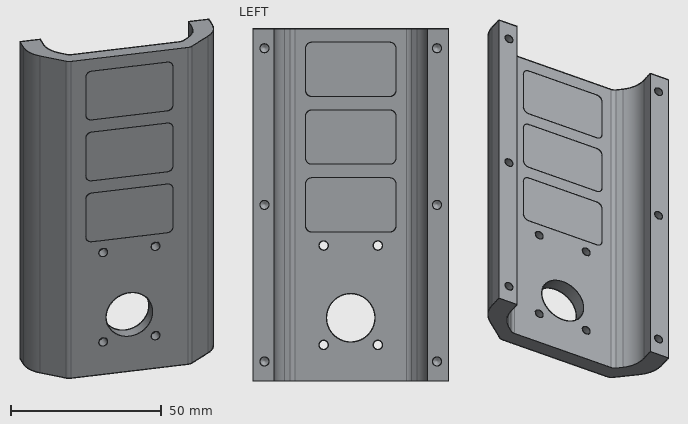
import cadquery as cq
import math

DEPTH = 19.0
WIDTH = 65.0
LENGTH = 117.0

WEB_THICKNESS = 5.0
FLANGE_WIDTH = 7.0
SLOPE_ANGLE = math.radians(50.0)
OUTER_CORNER_HALF_WIDTH = 21.0
INNER_CORNER_HALF_WIDTH = 19.4
SHOULDER_RADIUS = 10.0
CORNER_RADIUS = 2.5

SCREW_DIAMETER = 3.0
SCREW_DEPTH = 6.0
DRILL_POINT_ANGLE = math.radians(118.0)
SCREW_SIDE_OFFSET = 3.85
SCREW_END_OFFSET = 6.5

WINDOW_WIDTH = 30.0
WINDOW_HEIGHT = 18.0
WINDOW_CORNER_RADIUS = 2.0
WINDOW_COUNT = 3
WINDOW_PITCH = 22.5
WINDOW_TOP_MARGIN = 4.5

OPENING_DIAMETER = 16.0
OPENING_Z = 21.0
MOUNT_DIAMETER = 3.0
MOUNT_SPACING_Y = 18.0
MOUNT_LOW_Z = 12.0
MOUNT_SPACING_Z = 33.0

WEB_INNER_X = DEPTH - WEB_THICKNESS
FIRST_WINDOW_Z = LENGTH - WINDOW_TOP_MARGIN - WINDOW_HEIGHT / 2
WINDOW_CENTRES_Z = [FIRST_WINDOW_Z - i * WINDOW_PITCH for i in range(WINDOW_COUNT)]


def trapezoid_prism(face_x, half_width, corner_half_width):
    """Full-length prism from X = 0 to face_x, with rounded sloped sides."""
    slope_run = (half_width - corner_half_width) / math.tan(SLOPE_ANGLE)
    shoulder_x = face_x - slope_run
    prism = (
        cq.Workplane("XY")
        .polyline([
            (0, -half_width),
            (shoulder_x, -half_width),
            (face_x, -corner_half_width),
            (face_x, corner_half_width),
            (shoulder_x, half_width),
            (0, half_width),
        ])
        .close()
        .extrude(LENGTH)
    )
    prism = prism.edges("|Z and (not <X) and (not >X)").fillet(SHOULDER_RADIUS)
    return prism.faces(">X").edges("|Z").fillet(CORNER_RADIUS)


def window_block(centre_z):
    """Rounded rectangular block filling the web thickness."""
    return (
        cq.Workplane("YZ", origin=(WEB_INNER_X, 0, centre_z))
        .rect(WINDOW_WIDTH, WINDOW_HEIGHT)
        .extrude(WEB_THICKNESS)
        .edges("|X")
        .fillet(WINDOW_CORNER_RADIUS)
    )


def web_hole(diameter, y, z):
    """Cylinder through the web along X."""
    return cq.Workplane("YZ", origin=(WEB_INNER_X, y, z)).circle(diameter / 2).extrude(WEB_THICKNESS)


def screw_hole(y, z):
    """Blind drilled hole from the flange face, with a conical end."""
    radius = SCREW_DIAMETER / 2
    tip_depth = SCREW_DEPTH + radius / math.tan(DRILL_POINT_ANGLE / 2)
    return (
        cq.Workplane("XY", origin=(0, y, z))
        .polyline([(0, 0), (0, radius), (SCREW_DEPTH, radius), (tip_depth, 0)])
        .close()
        .revolve(360, (0, 0, 0), (1, 0, 0))
    )


housing = trapezoid_prism(DEPTH, WIDTH / 2, OUTER_CORNER_HALF_WIDTH).cut(
    trapezoid_prism(WEB_INNER_X, WIDTH / 2 - FLANGE_WIDTH, INNER_CORNER_HALF_WIDTH)
)

screw_y = WIDTH / 2 - SCREW_SIDE_OFFSET
for y in (-screw_y, screw_y):
    for z in (SCREW_END_OFFSET, LENGTH / 2, LENGTH - SCREW_END_OFFSET):
        housing = housing.cut(screw_hole(y, z))

housing = housing.cut(web_hole(OPENING_DIAMETER, 0, OPENING_Z))
for y in (-MOUNT_SPACING_Y / 2, MOUNT_SPACING_Y / 2):
    for z in (MOUNT_LOW_Z, MOUNT_LOW_Z + MOUNT_SPACING_Z):
        housing = housing.cut(web_hole(MOUNT_DIAMETER, y, z))

for z in WINDOW_CENTRES_Z:
    housing = housing.cut(window_block(z))

windows = [window_block(z) for z in WINDOW_CENTRES_Z]

result = cq.Compound.makeCompound([housing.val(), *[window.val() for window in windows]])